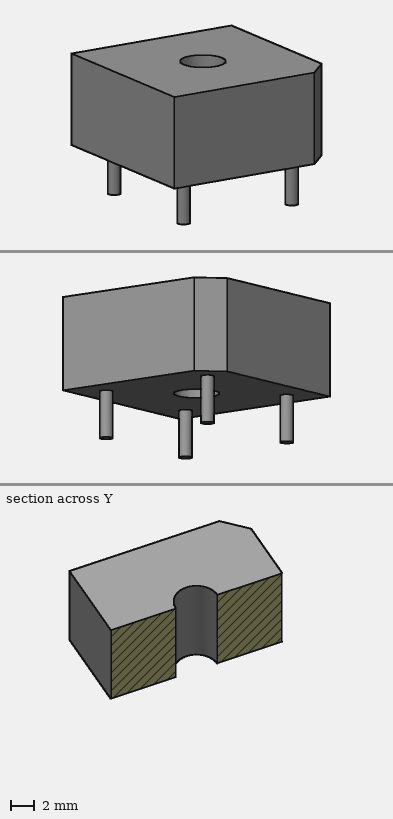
import cadquery as cq

body_side = 16.0
body_height = 8.0
corner_cut = 2.0
bore_diameter = 3.84

pin_diameter = 1.1
pin_length = 4.0
pin_pitch = 10.8


def make_body():
    """Square block with one corner cut at 45 degrees and a central through bore."""
    block = cq.Workplane("XY").rect(body_side, body_side).extrude(body_height)
    block = block.edges("|Z and >(1, 1, 0)").chamfer(corner_cut)
    return block.faces(">Z").workplane().hole(bore_diameter)


def make_pins():
    """Four straight pins hanging from the underside of the body."""
    return (
        cq.Workplane("XY")
        .rect(pin_pitch, pin_pitch, forConstruction=True)
        .vertices()
        .circle(pin_diameter / 2)
        .extrude(-pin_length)
    )


result = make_body().union(make_pins())